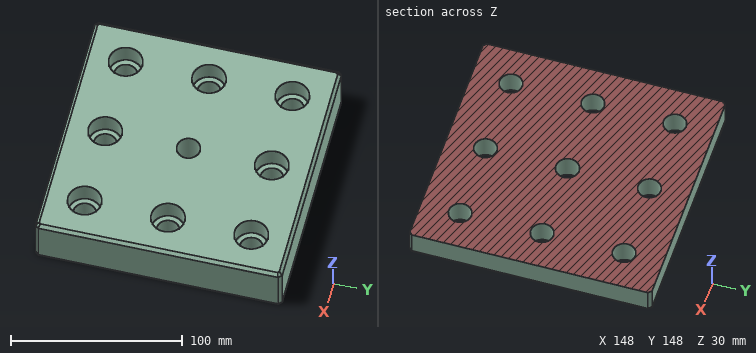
import cadquery as cq

side = 148.0
thickness = 30.0
edge_chamfer = 2.0

hole_pitch = 50.0
through_diameter = 13.5
counterbore_diameter = 20.0
counterbore_depth = 13.0
center_hole_diameter = 13.84


def make_plate():
    """Square plate standing on Z = 0, chamfered on its corners and top rim."""
    plate = cq.Workplane("XY").box(side, side, thickness, centered=(True, True, False))
    plate = plate.edges("|Z").chamfer(edge_chamfer)
    return plate.faces(">Z").edges().chamfer(edge_chamfer)


def counterbored_positions():
    """Grid positions around the center, which carries its own plain hole."""
    steps = (-hole_pitch, 0.0, hole_pitch)
    return [(x, y) for x in steps for y in steps if (x, y) != (0.0, 0.0)]


def drill_holes(plate):
    """Eight counterbored holes and one plain center hole, all through the plate."""
    top = plate.faces(">Z").workplane(origin=(0, 0, thickness))
    drilled = top.pushPoints(counterbored_positions()).cboreHole(
        through_diameter, counterbore_diameter, counterbore_depth
    )
    return drilled.faces(">Z").workplane(origin=(0, 0, thickness)).hole(center_hole_diameter)


result = drill_holes(make_plate())